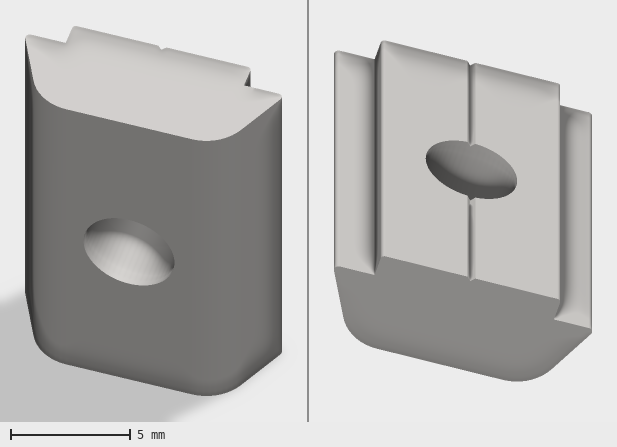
import cadquery as cq
import math

length = 16.0
width = 11.26
depth = 4.6

stem_width = 7.84
stem_height = 1.04
flank_angle = math.radians(26)
tip_radius = 0.2
base_radius = 2.0
stem_radius = 0.16
notch_width = 0.35
notch_depth = 0.2

hole_diameter = 4.0

base_y = -depth / 2
stem_y = depth / 2
shoulder_y = stem_y - stem_height
stem_x = stem_width / 2

tip_overhang = tip_radius * (1 / math.cos(flank_angle) + math.tan(flank_angle) - 1)
tip_x = width / 2 + tip_overhang
base_x = tip_x - (shoulder_y - base_y) * math.tan(flank_angle)


def round_edges(body, x, y, radius):
    """Round the pair of lengthwise edges at (-x, y) and (x, y)."""
    for side in (-1, 1):
        edge = cq.selectors.NearestToPointSelector((side * x, y, 0))
        body = body.edges("|Z").edges(edge).fillet(radius)
    return body


body = (
    cq.Workplane("XY")
    .polyline([
        (-base_x, base_y),
        (base_x, base_y),
        (tip_x, shoulder_y),
        (stem_x, shoulder_y),
        (stem_x, stem_y),
        (-stem_x, stem_y),
        (-stem_x, shoulder_y),
        (-tip_x, shoulder_y),
    ])
    .close()
    .extrude(length / 2, both=True)
)
body = round_edges(body, base_x, base_y, base_radius)
body = round_edges(body, tip_x, shoulder_y, tip_radius)
body = round_edges(body, stem_x, stem_y, stem_radius)

notch = (
    cq.Workplane("XY")
    .polyline([
        (-notch_width / 2, stem_y),
        (0, stem_y - notch_depth),
        (notch_width / 2, stem_y),
    ])
    .close()
    .extrude(length / 2, both=True)
)

hole = cq.Workplane("XZ").circle(hole_diameter / 2).extrude(depth, both=True)

result = body.cut(notch).cut(hole)